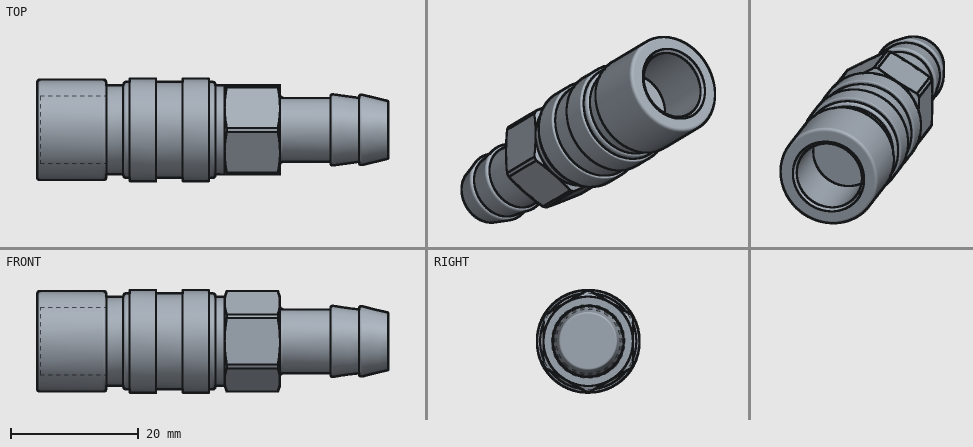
import cadquery as cq
import math

total_length = 55.05
head_end = 10.85
band_length = 4.15
collar_length = 1.0
front_collar_start = 13.5
front_band_start = front_collar_start + collar_length
front_band_end = front_band_start + band_length
rear_band_start = front_band_end + band_length
rear_band_end = rear_band_start + band_length
rear_collar_end = rear_band_end + collar_length
hex_start = 29.4
hex_end = 38.05
first_barb_start = 45.95
second_barb_start = 50.45

head_diameter = 15.8
neck_diameter = 14.0
collar_diameter = 15.1
band_diameter = 16.15
stem_diameter = 10.05
barb_diameter = 11.3
barb_root_diameter = stem_diameter
tip_diameter = 9.05

hex_sides = 6
hex_across_flats = 14.0
hex_corner_diameter = 15.8
hex_chamfer_angle = 20

bore_diameter = 10.55
bore_depth = head_end
bore_chamfer = 0.5

head_fillet = 0.5
collar_fillet = 0.5
band_fillet = 0.2
barb_fillet = 0.4
tip_fillet = 0.3
stem_root_fillet = 0.5


def cylinder(diameter, start, end):
    """Solid cylinder on the X axis between two stations."""
    return cq.Workplane("YZ", origin=(start, 0, 0)).circle(diameter / 2).extrude(end - start)


def cone(start_diameter, end_diameter, start, end):
    """Solid cone frustum on the X axis between two stations."""
    outline = [
        (start, 0),
        (start, start_diameter / 2),
        (end, end_diameter / 2),
        (end, 0),
    ]
    return cq.Workplane("XY").polyline(outline).close().revolve(360, (0, 0, 0), (1, 0, 0))


def make_head():
    """Plug head with both rims rounded."""
    return cylinder(head_diameter, 0, head_end).edges().fillet(head_fillet)


def make_sleeve():
    """Neck carrying two collars and two raised bands with a recess between them."""
    neck = cylinder(neck_diameter, head_end, hex_start)
    collar = cylinder(collar_diameter, front_collar_start, rear_collar_end).edges().fillet(collar_fillet)
    front_band = cylinder(band_diameter, front_band_start, front_band_end).edges("<X").fillet(band_fillet)
    rear_band = cylinder(band_diameter, rear_band_start, rear_band_end).edges().fillet(band_fillet)
    return neck.union(collar).union(front_band).union(rear_band)


def make_hex():
    """Hexagon with flats facing +Y and -Y, its corners turned down and chamfered."""
    across_corners = hex_across_flats / math.cos(math.pi / hex_sides)
    hexagon = (
        cq.Workplane("YZ", origin=(hex_start, 0, 0))
        .transformed(rotate=(0, 0, 90))
        .polygon(hex_sides, across_corners)
        .extrude(hex_end - hex_start)
    )
    corner_drop = (hex_corner_diameter - hex_across_flats) / 2
    chamfer_length = corner_drop * math.tan(math.radians(hex_chamfer_angle))
    front_cone_end = hex_start + chamfer_length
    rear_cone_start = hex_end - chamfer_length
    envelope = (
        cone(hex_across_flats, hex_corner_diameter, hex_start, front_cone_end)
        .union(cylinder(hex_corner_diameter, front_cone_end, rear_cone_start))
        .union(cone(hex_corner_diameter, hex_across_flats, rear_cone_start, hex_end))
    )
    return hexagon.intersect(envelope)


def make_stem_root():
    """Concave fillet where the hose stem leaves the hexagon."""
    stem_radius = stem_diameter / 2
    outer_radius = stem_radius + stem_root_fillet
    fillet_end = hex_end + stem_root_fillet
    sag = stem_root_fillet * (1 - math.sqrt(0.5))
    return (
        cq.Workplane("XY")
        .moveTo(hex_end, 0)
        .lineTo(hex_end, outer_radius)
        .threePointArc((hex_end + sag, stem_radius + sag), (fillet_end, stem_radius))
        .lineTo(fillet_end, 0)
        .close()
        .revolve(360, (0, 0, 0), (1, 0, 0))
    )


def make_hose_tail():
    """Hose stem ending in two rounded barbs."""
    stem = cylinder(stem_diameter, hex_end, first_barb_start)
    first_barb = cone(barb_diameter, barb_root_diameter, first_barb_start, second_barb_start)
    second_barb = cone(barb_diameter, tip_diameter, second_barb_start, total_length)
    first_barb = first_barb.edges("<X").fillet(barb_fillet)
    second_barb = second_barb.edges("<X").fillet(barb_fillet)
    second_barb = second_barb.edges(">X").fillet(tip_fillet)
    return stem.union(make_stem_root()).union(first_barb).union(second_barb)


def make_bore():
    """Blind bore with a countersunk mouth."""
    mouth_diameter = bore_diameter + 2 * bore_chamfer
    mouth = cone(mouth_diameter, bore_diameter, 0, bore_chamfer)
    return cylinder(bore_diameter, 0, bore_depth).union(mouth)


body = make_head().union(make_sleeve()).union(make_hex()).union(make_hose_tail())
result = body.cut(make_bore())